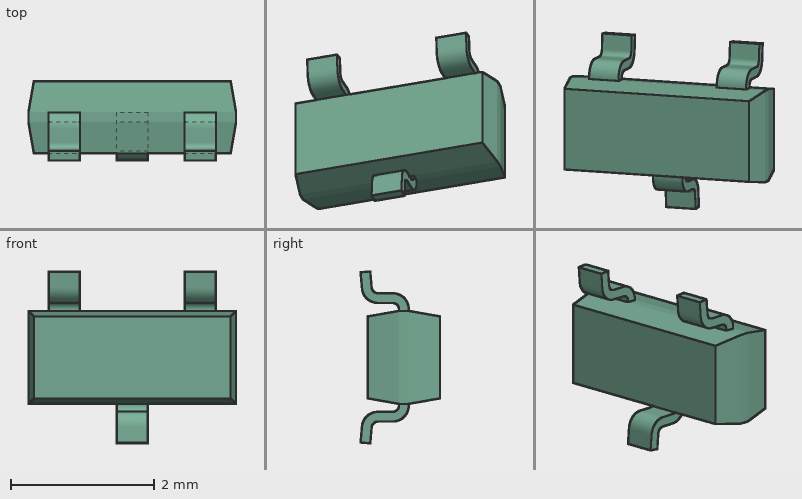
import cadquery as cq
import math

HOUSING_LENGTH = 2.9
HOUSING_HEIGHT = 1.3
HOUSING_DEPTH = 1.01
DRAFT_ANGLE = 10.0

LEAD_THICKNESS = 0.14
LEAD_WIDTH = 0.438
LEAD_PITCH = 0.948
LEAD_STUB = 0.02
INNER_BEND_RADIUS = 0.087
FOOT_TILT = 5.0
LEAD_SPAN = 2.4
STANDOFF = 0.102

HALF_BAND = LEAD_THICKNESS / 2
TAPER_DEPTH = (HOUSING_DEPTH - LEAD_THICKNESS) / 2
OUTER_BEND_RADIUS = INNER_BEND_RADIUS + LEAD_THICKNESS


def make_housing():
    """Central band extruded along Y, with both large faces drawn out to drafted halves."""
    band = (
        cq.Workplane("XZ")
        .rect(HOUSING_LENGTH, HOUSING_HEIGHT)
        .extrude(HALF_BAND, both=True)
    )
    for side in ("<Y", ">Y"):
        band = (
            band.faces(side)
            .workplane(centerOption="CenterOfBoundBox")
            .rect(HOUSING_LENGTH, HOUSING_HEIGHT)
            .extrude(TAPER_DEPTH, taper=DRAFT_ANGLE)
        )
    return band


def polar(center, radius, degrees):
    """Point in the YZ plane at an angle measured from +Y towards +Z."""
    angle = math.radians(degrees)
    return (center[0] + radius * math.cos(angle), center[1] + radius * math.sin(angle))


def make_lead(x_center):
    """Gull-wing lead that leaves the upper housing face and bends towards -Y."""
    tilt = math.radians(FOOT_TILT)
    seat_z = HOUSING_HEIGHT / 2
    tip_z = LEAD_SPAN / 2
    tip_y = -(HOUSING_DEPTH / 2 + STANDOFF)

    shoulder = (-HALF_BAND - INNER_BEND_RADIUS, seat_z + LEAD_STUB)

    ankle_z = shoulder[1] + INNER_BEND_RADIUS + OUTER_BEND_RADIUS
    foot_outer_z = tip_z - LEAD_THICKNESS * math.sin(tilt)
    foot_rise = foot_outer_z - (ankle_z - OUTER_BEND_RADIUS * math.sin(tilt))
    ankle_y = tip_y + foot_rise * math.tan(tilt) + OUTER_BEND_RADIUS * math.cos(tilt)
    ankle = (ankle_y, ankle_z)

    run_angle = 270.0
    foot_angle = 180.0 + FOOT_TILT
    middle_angle = (run_angle + foot_angle) / 2

    outer_tip = (tip_y, foot_outer_z)
    inner_tip = (tip_y + LEAD_THICKNESS * math.cos(tilt), tip_z)

    return (
        cq.Workplane("YZ", origin=(x_center, 0, 0))
        .moveTo(-HALF_BAND, seat_z)
        .lineTo(*polar(shoulder, INNER_BEND_RADIUS, 0))
        .threePointArc(polar(shoulder, INNER_BEND_RADIUS, 45), polar(shoulder, INNER_BEND_RADIUS, 90))
        .lineTo(*polar(ankle, OUTER_BEND_RADIUS, run_angle))
        .threePointArc(
            polar(ankle, OUTER_BEND_RADIUS, middle_angle),
            polar(ankle, OUTER_BEND_RADIUS, foot_angle),
        )
        .lineTo(*outer_tip)
        .lineTo(*inner_tip)
        .lineTo(*polar(ankle, INNER_BEND_RADIUS, foot_angle))
        .threePointArc(
            polar(ankle, INNER_BEND_RADIUS, middle_angle),
            polar(ankle, INNER_BEND_RADIUS, run_angle),
        )
        .lineTo(*polar(shoulder, OUTER_BEND_RADIUS, 90))
        .threePointArc(polar(shoulder, OUTER_BEND_RADIUS, 45), polar(shoulder, OUTER_BEND_RADIUS, 0))
        .lineTo(HALF_BAND, seat_z)
        .close()
        .extrude(LEAD_WIDTH / 2, both=True)
    )


housing = make_housing()

leads = [make_lead(x_center).val() for x_center in (-LEAD_PITCH, LEAD_PITCH)]
leads.append(make_lead(0).mirror("XY").val())

result = cq.Compound.makeCompound([housing.val(), *leads])